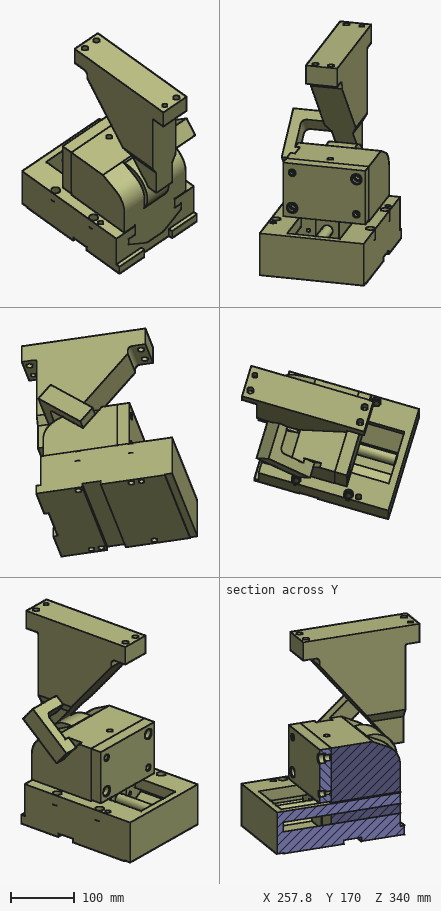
import cadquery as cq
import math

BASE_WIDTH = 170.0
Y_MID = BASE_WIDTH / 2
SLIDE_END_X = 213.0

BASE_HEIGHT = 72.0
FOOT_LENGTH = 7.0
FOOT_WIDTH = 54.7
FOOT_HEIGHT = 15.5
KEYWAY_X = 115.5
KEYWAY_LENGTH = 30.0
KEYWAY_DEPTH = 6.5
RELIEF_LENGTH = 12.0
RELIEF_DEPTH = 1.5
GROOVE_X = 11.5
GROOVE_WIDTH = 86.5
GROOVE_LIP = 19.0
GROOVE_INNER_WIDTH = 115.5
GROOVE_FLOOR_WIDTH = 36.0
GROOVE_FLOOR_Z = 18.0
GROOVE_SLOPE_ANGLE = 30.0
HOLE_EDGE = 7.8
SCREW_X = (67.5, 153.5)
SCREW_RADIUS = 4.8
SCREW_HEAD_RADIUS = 7.0
SCREW_HEAD_DEPTH = 18.5
DOWEL_RADIUS = 4.5
DOWEL_X = (51.5, 169.3)

HOUSING_X = 93.0
HOUSING_WIDTH = 134.5
HOUSING_BOTTOM = 73.0
HOUSING_TOP = 166.0
HOUSING_SLOPE_X = 164.2
HOUSING_SLOPE_ANGLE = 26.0
HOUSING_ROUND = 37.5
LUBE_X = 109.0
LUBE_RADIUS = 4.8
LUBE_DEPTH = 17.0
BOSS_WIDTH = 38.0
BOSS_HEIGHT = 1.7
BOSS_X = HOUSING_X - BOSS_HEIGHT
KEEL_HOLE_SPACING = 62.5
KEEL_HOLE_Z = 48.0
KEEL_HOLE_RADIUS = 2.7
KEEL_HOLE_DEPTH = 10.2

PLATE_X = 73.5
PLATE_BOTTOM = 75.5
PLATE_HOLE_SPACING_Y = 104.7
PLATE_HOLE_LOW = 15.5
PLATE_HOLE_SPACING_Z = 59.0
PLATE_MOUTH_CHAMFER = 1.5
PLATE_HEAD_RADIUS = 7.5
PLATE_HEAD_DEPTH = 10.2
PLATE_SCREW_RADIUS = 4.8
PLATE_DOWEL_RADIUS = 4.5
PLATE_DOWEL_DEPTH = 10.2
PLATE_DOWEL_CORE_RADIUS = 2.0

ROD_RADIUS = 9.0
ROD_Z = 51.7
ROD_CHAMFER = 1.5

ROCKER_X = 176.0
ROCKER_Z = 121.7
ROCKER_RADIUS = 43.5
ROCKER_WIDTH = 47.0

ARM_TOP = 340.0
HEAD_X = 57.5
HEAD_LENGTH = 200.3
HEAD_HEIGHT = 31.0
ARM_WIDTH = 51.0
ARM_BACK_X = 233.5
ARM_BOTTOM = 141.0
WEB_FRONT_X = 86.0
WEB_FRONT_Z = 295.0
FRONT_FILLET = 7.8
BACK_FILLET = 3.0
NECK_WIDTH = 34.7
NECK_TOP = 184.5
NECK_TAPER_TOP = 199.2
HEAD_HOLE_X = (67.5, 248.0)
HEAD_HOLE_SPACING = 25.0
HEAD_HOLE_RADIUS = 5.0
HEAD_PIN_RADIUS = 4.0

HOOK_TILT = 40.0
HOOK_X = 128.5
HOOK_Z = 153.0
HOOK_LENGTH = 88.7
HOOK_THICKNESS = 31.0
HOOK_BAR = 17.7
HOOK_FILLET = 9.2
LIP_LENGTH = 20.7
LIP_REACH = 25.0


def cylinder_z(x, y, z_low, z_high, radius):
    return cq.Workplane("XY", origin=(x, y, z_low)).circle(radius).extrude(z_high - z_low)


def cylinder_x(x_low, x_high, y, z, radius):
    return cq.Workplane("YZ", origin=(x_low, y, z)).circle(radius).extrude(x_high - x_low)


def side_plane(width):
    """XZ plane from which an extrusion by this width is centred on the middle of the unit."""
    return cq.Workplane("XZ", origin=(0, Y_MID + width / 2, 0))


def groove_prism(x_low, x_high, top):
    """Prism with the guide groove's section: a T slot whose floor rises in two flanks."""
    half_mouth = GROOVE_WIDTH / 2
    half_inner = GROOVE_INNER_WIDTH / 2
    half_floor = GROOVE_FLOOR_WIDTH / 2
    lip_z = BASE_HEIGHT - GROOVE_LIP
    flank_top = GROOVE_FLOOR_Z + (half_inner - half_floor) * math.tan(math.radians(GROOVE_SLOPE_ANGLE))
    right_side = [
        (half_floor, GROOVE_FLOOR_Z), (half_inner, flank_top), (half_inner, lip_z),
        (half_mouth, lip_z), (half_mouth, top),
    ]
    left_side = [(-y, z) for y, z in reversed(right_side)]
    section = cq.Workplane("YZ", origin=(x_low, Y_MID, 0)).polyline(right_side + left_side).close()
    return section.extrude(x_high - x_low)


def make_base():
    base = cq.Workplane("XY").box(SLIDE_END_X, BASE_WIDTH, BASE_HEIGHT, centered=False)
    for foot_y in (0, BASE_WIDTH - FOOT_WIDTH):
        foot = cq.Workplane("XY").box(FOOT_LENGTH, FOOT_WIDTH, FOOT_HEIGHT, centered=False)
        base = base.union(foot.translate((SLIDE_END_X, foot_y, 0)))
    keyway = cq.Workplane("XY").box(KEYWAY_LENGTH, BASE_WIDTH, KEYWAY_DEPTH, centered=False)
    relief = cq.Workplane("XY").box(RELIEF_LENGTH, BASE_WIDTH, RELIEF_DEPTH, centered=False)
    base = base.cut(keyway.translate((KEYWAY_X, 0, 0))).cut(relief)
    base = base.cut(groove_prism(GROOVE_X, SLIDE_END_X, BASE_HEIGHT))

    for y, dowel_x in zip((BASE_WIDTH - HOLE_EDGE, HOLE_EDGE), DOWEL_X):
        base = base.cut(cylinder_z(dowel_x, y, 0, BASE_HEIGHT, DOWEL_RADIUS))
        for x in SCREW_X:
            base = base.cut(cylinder_z(x, y, 0, BASE_HEIGHT, SCREW_RADIUS))
            base = base.cut(cylinder_z(x, y, BASE_HEIGHT - SCREW_HEAD_DEPTH, BASE_HEIGHT, SCREW_HEAD_RADIUS))
    return base


def hook_plane():
    """Plane of the hook's upper face: x up the slope, y across the unit, origin at the lower end on +Y."""
    tilt = math.radians(HOOK_TILT)
    return cq.Plane(
        origin=(HOOK_X, BASE_WIDTH, HOOK_Z),
        xDir=(math.cos(tilt), 0, math.sin(tilt)),
        normal=(-math.sin(tilt), 0, math.cos(tilt)),
    )


def make_hook():
    """Bar from the lip, up the slope on the +Y side and across into the arm's side."""
    reach = BASE_WIDTH - Y_MID
    bar_end = HOOK_LENGTH - HOOK_BAR
    outline = [
        (0, 0), (HOOK_LENGTH, 0), (HOOK_LENGTH, -reach), (bar_end, -reach), (bar_end, -HOOK_BAR),
        (LIP_LENGTH, -HOOK_BAR), (LIP_LENGTH, -LIP_REACH), (0, -LIP_REACH),
    ]
    hook = cq.Workplane(hook_plane()).polyline(outline).close().extrude(-HOOK_THICKNESS)
    corner = cq.Workplane(hook_plane()).center(bar_end, -HOOK_BAR)
    fillet_block = corner.rect(-HOOK_FILLET, -HOOK_FILLET, centered=False).extrude(-HOOK_THICKNESS)
    fillet_round = corner.center(-HOOK_FILLET, -HOOK_FILLET).circle(HOOK_FILLET).extrude(-HOOK_THICKNESS)
    return hook.union(fillet_block.cut(fillet_round))


def make_lip_slot():
    """Slot for the lip, open to the housing's top and +Y side."""
    slot = cq.Workplane(hook_plane()).workplane(offset=-HOOK_THICKNESS)
    return slot.rect(LIP_LENGTH, -LIP_REACH, centered=False).extrude(2 * HOOK_THICKNESS)


def make_rocker():
    return side_plane(ROCKER_WIDTH).center(ROCKER_X, ROCKER_Z).circle(ROCKER_RADIUS).extrude(ROCKER_WIDTH)


def make_housing(rocker):
    end_drop = (SLIDE_END_X - HOUSING_SLOPE_X) * math.tan(math.radians(HOUSING_SLOPE_ANGLE))
    outline = [
        (HOUSING_X, HOUSING_BOTTOM), (SLIDE_END_X, HOUSING_BOTTOM), (SLIDE_END_X, HOUSING_TOP - end_drop),
        (HOUSING_SLOPE_X, HOUSING_TOP), (HOUSING_X, HOUSING_TOP),
    ]
    housing = side_plane(HOUSING_WIDTH).polyline(outline).close().extrude(HOUSING_WIDTH)
    corner = cq.selectors.NearestToPointSelector((SLIDE_END_X, Y_MID, HOUSING_TOP - end_drop))
    housing = housing.edges(corner).fillet(HOUSING_ROUND)
    housing = housing.union(groove_prism(HOUSING_X, SLIDE_END_X, HOUSING_BOTTOM))
    boss = cq.Workplane("XY").box(BOSS_HEIGHT, BOSS_WIDTH, BASE_HEIGHT - GROOVE_FLOOR_Z, centered=False)
    boss = boss.translate((BOSS_X, Y_MID - BOSS_WIDTH / 2, GROOVE_FLOOR_Z))
    housing = housing.union(boss.intersect(groove_prism(BOSS_X, HOUSING_X, BASE_HEIGHT)))
    for y in (Y_MID - KEEL_HOLE_SPACING / 2, Y_MID + KEEL_HOLE_SPACING / 2):
        keel_hole = cylinder_x(HOUSING_X, HOUSING_X + KEEL_HOLE_DEPTH, y, KEEL_HOLE_Z, KEEL_HOLE_RADIUS)
        housing = housing.cut(keel_hole)
    housing = housing.cut(cylinder_z(LUBE_X, Y_MID, HOUSING_TOP - LUBE_DEPTH, HOUSING_TOP, LUBE_RADIUS))
    return housing.cut(rocker).cut(make_lip_slot())


def cut_stepped_hole(plate, y, z, radius, depth, core_radius):
    """Chamfered hole from the plate's -X face, continued by a narrower core through the plate."""
    mouth_circle = cq.Workplane("YZ", origin=(PLATE_X, y, z)).circle(radius + PLATE_MOUTH_CHAMFER)
    mouth = mouth_circle.extrude(PLATE_MOUTH_CHAMFER, taper=45)
    bore = cylinder_x(PLATE_X, PLATE_X + depth, y, z, radius)
    core = cylinder_x(PLATE_X, HOUSING_X, y, z, core_radius)
    return plate.cut(mouth).cut(bore).cut(core)


def make_end_plate():
    plate = cq.Workplane("XY").box(
        HOUSING_X - PLATE_X, HOUSING_WIDTH, HOUSING_TOP - PLATE_BOTTOM, centered=False
    ).translate((PLATE_X, Y_MID - HOUSING_WIDTH / 2, PLATE_BOTTOM))
    low_z = PLATE_BOTTOM + PLATE_HOLE_LOW
    high_z = low_z + PLATE_HOLE_SPACING_Z
    front_y = Y_MID - PLATE_HOLE_SPACING_Y / 2
    back_y = Y_MID + PLATE_HOLE_SPACING_Y / 2
    for y, z in ((front_y, high_z), (back_y, low_z)):
        plate = cut_stepped_hole(plate, y, z, PLATE_HEAD_RADIUS, PLATE_HEAD_DEPTH, PLATE_SCREW_RADIUS)
    for y, z in ((front_y, low_z), (back_y, high_z)):
        plate = cut_stepped_hole(plate, y, z, PLATE_DOWEL_RADIUS, PLATE_DOWEL_DEPTH, PLATE_DOWEL_CORE_RADIUS)
    return plate


def make_rod():
    rod = cylinder_x(GROOVE_X, BOSS_X, Y_MID, ROD_Z, ROD_RADIUS)
    return rod.faces("<X").chamfer(ROD_CHAMFER)


def make_arm(rocker):
    head_bottom = ARM_TOP - HEAD_HEIGHT
    slope = math.tan(math.radians(90 - HOOK_TILT))
    toe_x = WEB_FRONT_X + (WEB_FRONT_Z - ARM_BOTTOM) / slope
    head_end = HEAD_X + HEAD_LENGTH
    front_mid = FRONT_FILLET * (1 - math.sqrt(0.5))
    back_mid = BACK_FILLET * (1 - math.sqrt(0.5))
    outline = (
        side_plane(ARM_WIDTH)
        .moveTo(HEAD_X, ARM_TOP)
        .lineTo(HEAD_X, head_bottom)
        .lineTo(WEB_FRONT_X - FRONT_FILLET, head_bottom)
        .threePointArc(
            (WEB_FRONT_X - front_mid, head_bottom - front_mid), (WEB_FRONT_X, head_bottom - FRONT_FILLET)
        )
        .lineTo(WEB_FRONT_X, WEB_FRONT_Z)
        .lineTo(toe_x, ARM_BOTTOM)
        .lineTo(ARM_BACK_X, ARM_BOTTOM)
        .lineTo(ARM_BACK_X, head_bottom - BACK_FILLET)
        .threePointArc(
            (ARM_BACK_X + back_mid, head_bottom - back_mid), (ARM_BACK_X + BACK_FILLET, head_bottom)
        )
        .lineTo(head_end, head_bottom)
        .lineTo(head_end, ARM_TOP)
        .close()
    )
    half = ARM_WIDTH / 2
    half_neck = NECK_WIDTH / 2
    across = [
        (-half, ARM_TOP), (-half, NECK_TAPER_TOP), (-half_neck, NECK_TOP), (-half_neck, ARM_BOTTOM),
        (half_neck, ARM_BOTTOM), (half_neck, NECK_TOP), (half, NECK_TAPER_TOP), (half, ARM_TOP),
    ]
    width_section = cq.Workplane("YZ", origin=(HEAD_X, Y_MID, 0)).polyline(across).close()
    arm = outline.extrude(ARM_WIDTH).intersect(width_section.extrude(HEAD_LENGTH))

    front_y = Y_MID - HEAD_HOLE_SPACING / 2
    back_y = Y_MID + HEAD_HOLE_SPACING / 2
    left, right = HEAD_HOLE_X
    for x, y, radius in (
        (left, front_y, HEAD_HOLE_RADIUS), (left, back_y, HEAD_HOLE_RADIUS),
        (right, front_y, HEAD_PIN_RADIUS), (right, back_y, HEAD_HOLE_RADIUS),
    ):
        arm = arm.cut(cylinder_z(x, y, head_bottom, ARM_TOP, radius))
    return arm.union(make_hook()).cut(rocker)


rocker = make_rocker()
base = make_base()
rod = make_rod()
housing = make_housing(rocker)
end_plate = make_end_plate()
arm = make_arm(rocker)

result = cq.Compound.makeCompound([
    base.val(), rod.val(), housing.val(), end_plate.val(), rocker.val(), arm.val(),
])